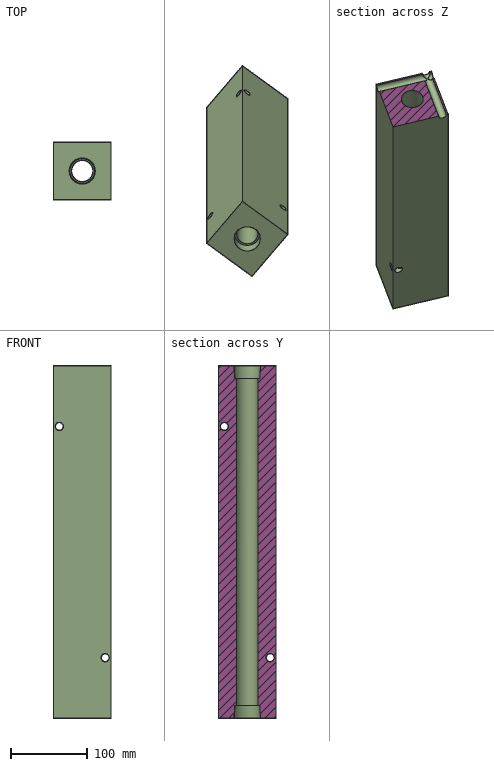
import cadquery as cq

length = 463.5
width = 76.0

bore_diameter = 28.0
socket_mouth_diameter = 34.5
socket_floor_diameter = 32.5
socket_depth = 16.5

cross_hole_diameter = 10.0
cross_hole_edge_offset = 8.0
cross_hole_end_distance = 79.5

cross_hole_side = width / 2 - cross_hole_edge_offset
cross_hole_height = length / 2 - cross_hole_end_distance


def make_bar():
    return cq.Workplane("XY").box(width, width, length)


def make_bore():
    """Through bore whose ends open into sockets that narrow to a flat floor."""
    end = length / 2
    floor = end - socket_depth
    bore_radius = bore_diameter / 2
    mouth_radius = socket_mouth_diameter / 2
    floor_radius = socket_floor_diameter / 2
    half_profile = [
        (0, -end),
        (mouth_radius, -end),
        (floor_radius, -floor),
        (bore_radius, -floor),
        (bore_radius, floor),
        (floor_radius, floor),
        (mouth_radius, end),
        (0, end),
    ]
    return cq.Workplane("XZ").polyline(half_profile).close().revolve(360, (0, 0), (0, 1))


def make_cross_holes(plane, upper_side):
    """Two through holes on opposite edges, the upper one at upper_side."""
    places = [
        (upper_side, cross_hole_height),
        (-upper_side, -cross_hole_height),
    ]
    return (
        cq.Workplane(plane)
        .pushPoints(places)
        .circle(cross_hole_diameter / 2)
        .extrude(width, both=True)
    )


result = (
    make_bar()
    .cut(make_bore())
    .cut(make_cross_holes("XZ", -cross_hole_side))
    .cut(make_cross_holes("YZ", cross_hole_side))
)